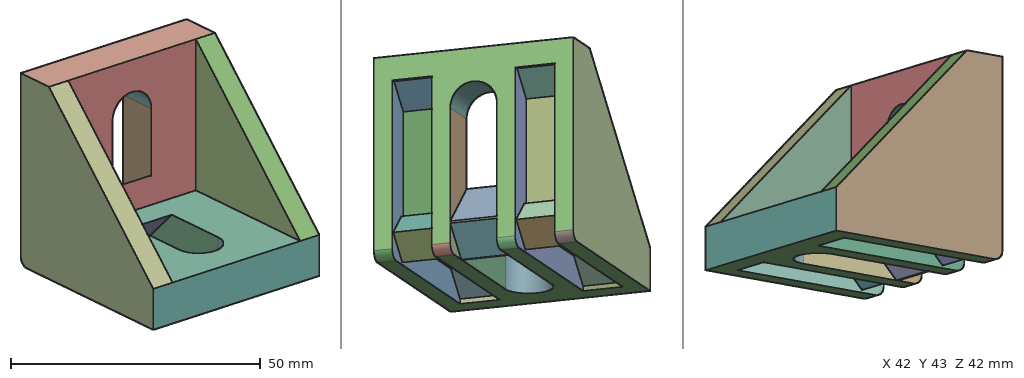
import cadquery as cq

leg_length = 42.0
width = 43.0
leg_thickness = 9.0
side_wall = 5.0
outer_corner_radius = 2.0

corner_cut = 6.0

slot_width = 10.0
slot_end = 35.0
slot_web_offset = 6.45

groove_width = 8.5
groove_margin = 4.0
groove_depth = 6.0
groove_end = 37.0
groove_end_slope = 5.05
groove_web_offset = 5.0
groove_web_top = 2 * groove_web_offset

groove_center = width / 2 - groove_margin - groove_width / 2


def prism(points, y_center, y_width):
    """Extrude an XZ outline evenly to both sides of y_center."""
    outline = cq.Workplane("XZ").polyline(points).close()
    return outline.extrude(y_width / 2, both=True).translate((0, y_center, 0))


def on_both_legs(points, y_center, y_width):
    """Make the prism for the upright leg and its mirror image for the flat leg."""
    swapped = [(z, x) for x, z in points]
    return prism(points, y_center, y_width).union(prism(swapped, y_center, y_width))


def corner_void(y_center, y_width):
    return prism([(0, 0), (corner_cut, 0), (0, corner_cut)], y_center, y_width)


def make_body():
    outline = [
        (0, 0),
        (leg_length, 0),
        (leg_length, leg_thickness),
        (leg_thickness, leg_length),
        (0, leg_length),
    ]
    body = prism(outline, 0, width)
    body = body.edges("|Y and <X and <Z").fillet(outer_corner_radius)
    cavity_width = width - 2 * side_wall
    cavity = cq.Workplane("XY").box(leg_length, cavity_width, leg_length, centered=(False, True, False))
    return body.cut(cavity.translate((leg_thickness, 0, leg_thickness)))


def make_slots():
    arc_center = slot_end - slot_width / 2
    outline = [
        (0, slot_web_offset),
        (leg_thickness, leg_thickness + slot_web_offset),
        (leg_thickness, arc_center),
        (0, arc_center),
    ]
    slots = on_both_legs(outline, 0, slot_width)
    upright_end = cq.Workplane("YZ").center(0, arc_center).circle(slot_width / 2).extrude(leg_thickness)
    flat_end = cq.Workplane("XY").center(arc_center, 0).circle(slot_width / 2).extrude(leg_thickness)
    return slots.union(upright_end).union(flat_end).union(corner_void(0, slot_width))


def make_groove(y_center):
    outline = [
        (0, groove_web_offset),
        (groove_web_top - groove_web_offset, groove_web_top),
        (groove_depth, groove_web_top),
        (groove_depth, groove_end - groove_end_slope),
        (groove_depth - groove_end_slope, groove_end),
        (0, groove_end),
    ]
    groove = on_both_legs(outline, y_center, groove_width)
    return groove.union(corner_void(y_center, groove_width))


result = make_body().cut(make_slots())
for y_center in (-groove_center, groove_center):
    result = result.cut(make_groove(y_center))